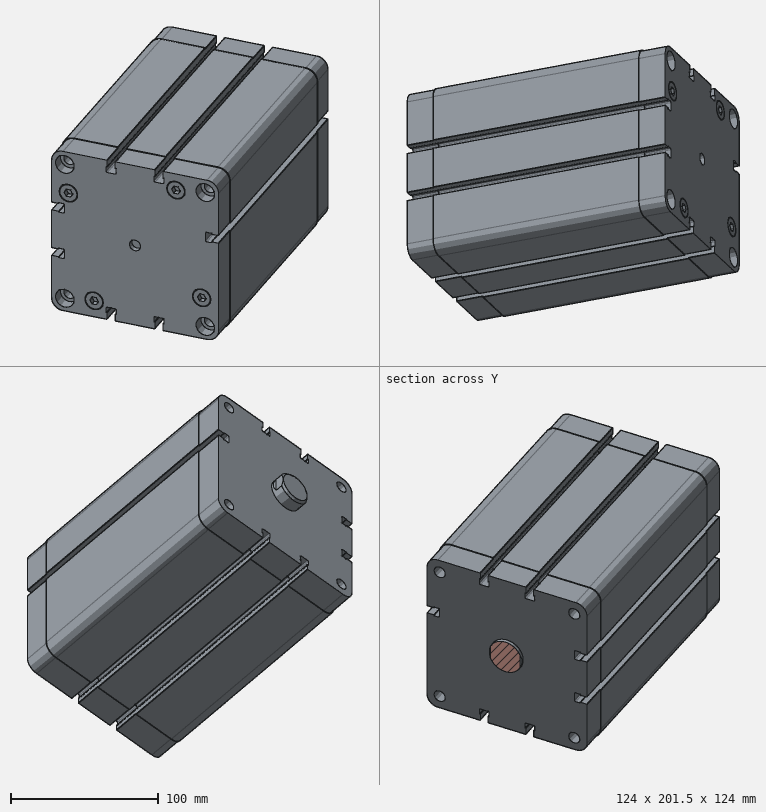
import cadquery as cq

TOTAL_LENGTH = 201.5
ROD_LENGTH = 10.0
CAP_LENGTH = 19.3
BODY_LENGTH = TOTAL_LENGTH - ROD_LENGTH
TUBE_LENGTH = BODY_LENGTH - 2 * CAP_LENGTH

TUBE_SIDE = 124.0
CAP_INSET = 0.6
CORNER_RADIUS = 9.0

SLOT_OFFSET = 17.5
SLOT_NECK_WIDTH = 5.8
SLOT_HEAD_WIDTH = 7.3
SLOT_NECK_DEPTH = 5.8
SLOT_MOUTH_CHAMFER = 0.3
SLOT_FLOOR_RADIUS = 0.8
TUBE_SLOT_DEPTH = 9.5
CAP_SLOT_DEPTH = 10.0

MOUNT_OFFSET = 51.5
MOUNT_HOLE_DIAMETER = 8.5
MOUNT_BORE_DIAMETER = 13.5
MOUNT_BORE_DEPTH = 8.5

SCREW_NEAR = 30.0
SCREW_FAR = 49.0
SCREW_RECESS_DIAMETER = 13.5
SCREW_HEAD_DIAMETER = 12.5
SCREW_GAP_DEPTH = 6.0
SOCKET_ACROSS_CORNERS = 6.2
SOCKET_DEPTH = 4.0

CENTRE_HOLE_DIAMETER = 8.0
CENTRE_HOLE_DEPTH = 4.0

ROD_DIAMETER = 25.0
ROD_CHAMFER = 1.6
FLATS_WIDTH = 22.2
FLATS_LENGTH = 7.0


def on_y(y):
    """Workplane at position y: local x is X, local y is Z, normal is -Y."""
    return cq.Workplane(cq.Plane(origin=(0, y, 0), xDir=(1, 0, 0), normal=(0, -1, 0)))


def extrude_back(sketch, length):
    """Extrude a sketch drawn on an on_y plane toward +Y."""
    return sketch.extrude(-length)


def round_pins(points, diameter, length):
    """Round cutters entering the front face at (X, Z) points."""
    return extrude_back(on_y(0).pushPoints(points).circle(diameter / 2), length)


def slot_cutter(face_angle, offset, top, depth, y, length):
    """T-slot cut down from z = top, then turned about the Y axis onto its own face."""
    neck_half = SLOT_NECK_WIDTH / 2
    head_half = SLOT_HEAD_WIDTH / 2
    mouth_half = neck_half + SLOT_MOUTH_CHAMFER
    right_side = [
        (mouth_half, top),
        (neck_half, top - SLOT_MOUTH_CHAMFER),
        (neck_half, TUBE_SIDE / 2 - SLOT_NECK_DEPTH),
        (head_half, TUBE_SIDE / 2 - SLOT_NECK_DEPTH),
        (head_half, TUBE_SIDE / 2 - depth),
    ]
    left_side = [(-x, z) for x, z in reversed(right_side)]
    outline = on_y(y).center(offset, 0).polyline(right_side + left_side).close()
    slot = extrude_back(outline, length).edges("|Y and <Z").fillet(SLOT_FLOOR_RADIUS)
    return slot.rotate((0, 0, 0), (0, 1, 0), face_angle)


def body_section(inset, slot_depth, y, length):
    """Rounded square block, inset from the tube outline, with its T-slots cut."""
    side = TUBE_SIDE - 2 * inset
    block = extrude_back(on_y(y).rect(side, side), length)
    block = block.edges("|Y").fillet(CORNER_RADIUS - inset)
    slots = [(angle, offset) for angle in (0, 180, 270) for offset in (-SLOT_OFFSET, SLOT_OFFSET)]
    slots.append((90, -SLOT_OFFSET))
    for angle, offset in slots:
        block = block.cut(slot_cutter(angle, offset, side / 2, slot_depth, y, length))
    return block


def make_body():
    rear_start = CAP_LENGTH + TUBE_LENGTH
    front_cap = body_section(CAP_INSET, CAP_SLOT_DEPTH, 0, CAP_LENGTH)
    tube = body_section(0, TUBE_SLOT_DEPTH, CAP_LENGTH, TUBE_LENGTH)
    rear_cap = body_section(CAP_INSET, CAP_SLOT_DEPTH, rear_start, CAP_LENGTH)
    return front_cap.union(tube).union(rear_cap)


def mounting_holes():
    corners = [(x, z) for x in (-MOUNT_OFFSET, MOUNT_OFFSET) for z in (-MOUNT_OFFSET, MOUNT_OFFSET)]
    holes = round_pins(corners, MOUNT_HOLE_DIAMETER, BODY_LENGTH)
    bores = round_pins(corners, MOUNT_BORE_DIAMETER, MOUNT_BORE_DEPTH)
    return holes.union(bores)


def screw_recesses():
    points = [
        (SCREW_NEAR, SCREW_FAR),
        (SCREW_FAR, -SCREW_NEAR),
        (-SCREW_NEAR, -SCREW_FAR),
        (-SCREW_FAR, SCREW_NEAR),
    ]
    recesses = round_pins(points, SCREW_RECESS_DIAMETER, SCREW_GAP_DEPTH)
    heads = round_pins(points, SCREW_HEAD_DIAMETER, SCREW_GAP_DEPTH)
    hexagons = on_y(0).pushPoints(points).polygon(6, SOCKET_ACROSS_CORNERS)
    return recesses.cut(heads).union(extrude_back(hexagons, SOCKET_DEPTH))


def centre_hole():
    return round_pins([(0, 0)], CENTRE_HOLE_DIAMETER, CENTRE_HOLE_DEPTH)


def wrench_flat():
    """Cutter for the +X flat, ending in a 45 degree run-out up to the rod surface."""
    flat = FLATS_WIDTH / 2
    cut_depth = ROD_DIAMETER / 2 - flat
    outer = flat + cut_depth
    flat_end = TOTAL_LENGTH - FLATS_LENGTH
    profile = [
        (flat, TOTAL_LENGTH),
        (flat, flat_end),
        (outer, flat_end - cut_depth),
        (outer, TOTAL_LENGTH),
    ]
    return cq.Workplane("XY").polyline(profile).close().extrude(ROD_DIAMETER / 2, both=True)


def make_rod():
    rod = extrude_back(on_y(BODY_LENGTH).circle(ROD_DIAMETER / 2), ROD_LENGTH)
    rod = rod.faces(">Y").chamfer(ROD_CHAMFER)
    flat = wrench_flat()
    return rod.cut(flat).cut(flat.mirror("YZ"))


body = make_body().cut(mounting_holes()).cut(screw_recesses()).cut(centre_hole())
result = body.union(make_rod())